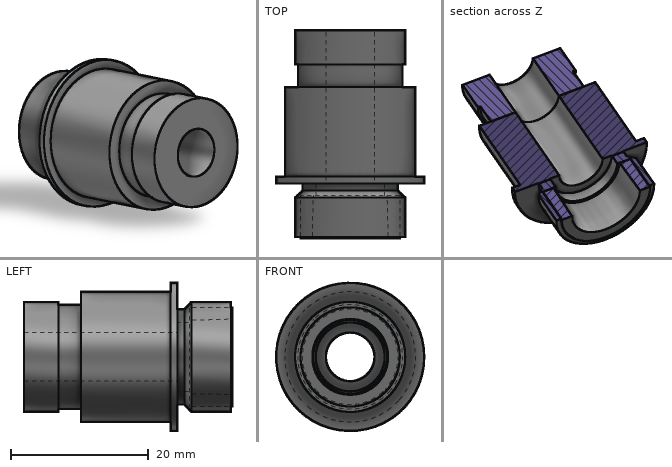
import cadquery as cq

liner_front = 0.0
socket_front = 0.25
seat = 6.25
chamfer_start = 5.95
chamfer_end = 6.95
flange_front = 8.0
flange_rear = 9.0
housing_rear = 22.0
collar_front = 25.27
collar_rear = 30.25

flange_diameter = 21.5

flange_radius = flange_diameter / 2
barrel_radius = 9.47
end_radius = 8.0
rear_neck_radius = 7.6
liner_radius = 7.2
front_neck_radius = 6.93
liner_mouth_radius = 5.5
liner_inner_radius = 5.35
socket_bore_radius = 5.0
through_radius = 3.5


def turned(profile):
    """Revolve a closed outline of (radius, station) points about the Y axis."""
    return cq.Workplane("XY").polyline(profile).close().revolve(360, (0, 0, 0), (0, 1, 0))


def make_liner():
    """Ring with a bore that tapers inward, standing slightly proud of the socket."""
    return turned([
        (liner_mouth_radius, liner_front),
        (liner_radius, liner_front),
        (liner_radius, seat),
        (liner_inner_radius, seat),
    ])


def make_socket():
    """Front end with a counterbore for the liner and a chamfer down to its neck."""
    return turned([
        (liner_radius, socket_front),
        (end_radius, socket_front),
        (end_radius, chamfer_start),
        (front_neck_radius, chamfer_end),
        (front_neck_radius, flange_front),
        (socket_bore_radius, flange_front),
        (socket_bore_radius, seat),
        (liner_radius, seat),
    ])


def make_housing():
    """Central barrel with a thin flange at its front."""
    return turned([
        (through_radius, flange_front),
        (flange_radius, flange_front),
        (flange_radius, flange_rear),
        (barrel_radius, flange_rear),
        (barrel_radius, housing_rear),
        (through_radius, housing_rear),
    ])


def make_rear_sleeve():
    """Rear neck that ends in a slightly larger collar."""
    return turned([
        (through_radius, housing_rear),
        (rear_neck_radius, housing_rear),
        (rear_neck_radius, collar_front),
        (end_radius, collar_front),
        (end_radius, collar_rear),
        (through_radius, collar_rear),
    ])


liner = make_liner()
socket = make_socket()
housing = make_housing()
rear_sleeve = make_rear_sleeve()

result = cq.Compound.makeCompound([
    liner.val(),
    socket.val(),
    housing.val(),
    rear_sleeve.val(),
])